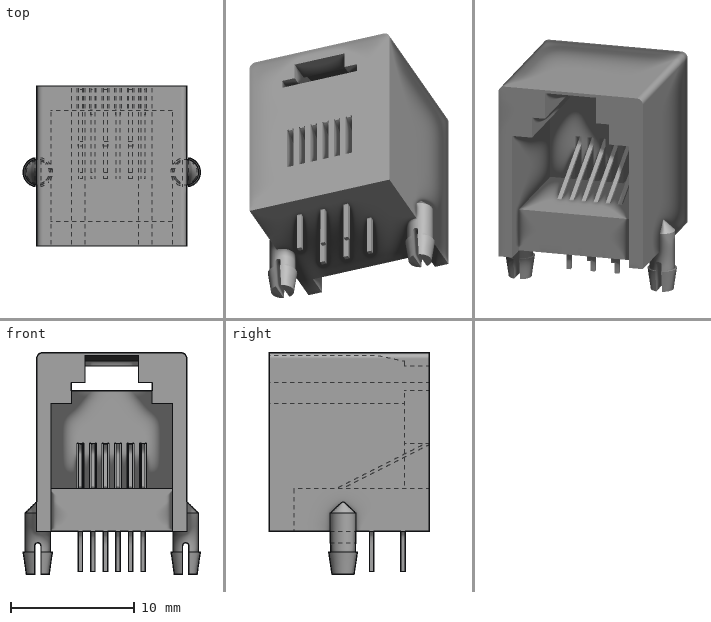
import cadquery as cq

body_width = 12.2
body_depth = 13.0
body_base = 3.5
body_top = 18
top_edge_radius = 0.5

cavity_width = 9.86
cavity_top = 13.86
shoulder_width = 6.53
shoulder_top = 15.57
latch_width = 4.34
latch_top = 17.75
latch_top_rear = 17.3
latch_ramp = 2.16
back_wall = 2.0
cavity_depth = body_depth - back_wall

floor_setback = 2.0
floor_top = 6.98
window_bottom = 14.9
window_top = 16.9

contact_count = 6
contact_span = 5.1
contact_pitch = contact_span / (contact_count - 1)
contact_width = 0.35
contact_height = 0.25
contact_tip = 5.47
contact_reach = 12.7
contact_slot_width = 0.54
contact_slot_top = 10.64
pin_size = 0.38
pin_bottom = 0.22
pin_rows = (8.32, 10.85)

overall_width = 14.4
peg_spacing = 12.0
peg_y = 6.0
peg_radius = 1.05
peg_shoulder = 4.97
peg_apex = 5.98
collar_radius = (overall_width - peg_spacing) / 2
collar_z = 1.8
tip_radius = 0.94
split_width = 0.49
split_top = 2.55


def box(width, y_start, y_end, z_start, z_end, x=0):
    """Box centred on x that spans the given y and z ranges."""
    size = (width, y_end - y_start, z_end - z_start)
    return cq.Workplane("XY").box(*size, centered=(True, False, False)).translate((x, y_start, z_start))


def side_profile(points, width, x=0):
    """Prism with a closed (y, z) outline, centred on x."""
    return cq.Workplane("YZ").polyline(points).close().extrude(width / 2, both=True).translate((x, 0, 0))


def make_housing():
    body = box(body_width, 0, body_depth, body_base, body_top)
    body = body.edges("|Y and >Z").fillet(top_edge_radius)
    body = body.cut(box(cavity_width, 0, cavity_depth, body_base, cavity_top))
    body = body.cut(box(shoulder_width, 0, cavity_depth, body_base, shoulder_top))
    latch_outline = [
        (0, body_base),
        (0, latch_top),
        (cavity_depth - latch_ramp, latch_top),
        (cavity_depth, latch_top_rear),
        (cavity_depth, body_base),
    ]
    body = body.cut(side_profile(latch_outline, latch_width))
    body = body.union(box(cavity_width, floor_setback, cavity_depth, body_base, floor_top))

    body = body.cut(box(shoulder_width, cavity_depth, body_depth, window_bottom, shoulder_top))
    return body.cut(box(latch_width, cavity_depth, body_depth, window_bottom, window_top))


def make_contact(x):
    """Spring finger rising from the floor and joined to the back wall above its slot."""
    slope = (contact_slot_top - floor_top) / (contact_reach - contact_tip)
    root_y = contact_tip - contact_height / slope
    rear_z = contact_slot_top + slope * (body_depth - contact_reach)
    outline = [
        (root_y, floor_top - contact_height),
        (body_depth, rear_z),
        (body_depth, rear_z - contact_height),
        (contact_tip, floor_top - contact_height),
    ]
    return side_profile(outline, contact_width, x)


def make_peg(x):
    """Cone-topped peg with a tapered barb, split along y."""
    half_outline = [
        (0, 0),
        (tip_radius, 0),
        (collar_radius, collar_z),
        (peg_radius, collar_z),
        (peg_radius, peg_shoulder),
        (0, peg_apex),
    ]
    peg = cq.Workplane("XZ").polyline(half_outline).close().revolve(360, (0, 0), (0, 1))
    split_radius = split_width / 2
    arc_z = split_top - split_radius
    split = box(split_width, -collar_radius, collar_radius, 0, arc_z)
    arch = cq.Workplane("XZ").center(0, arc_z).circle(split_radius).extrude(collar_radius, both=True)
    return peg.cut(split).cut(arch).translate((x, peg_y, 0))


result = make_housing()

for side in (-1, 1):
    result = result.union(make_peg(side * peg_spacing / 2))

for i in range(contact_count):
    x = (i - (contact_count - 1) / 2) * contact_pitch
    slot = box(contact_slot_width, cavity_depth, body_depth, floor_top, contact_slot_top, x)
    pin_y = pin_rows[i % 2]
    pin = box(pin_size, pin_y - pin_size / 2, pin_y + pin_size / 2, pin_bottom, floor_top, x)
    result = result.cut(slot).union(make_contact(x)).union(pin)